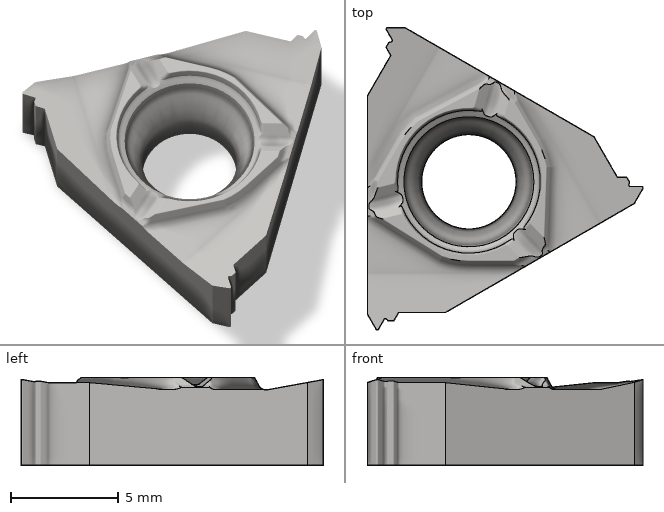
import cadquery as cq
import math

CORNERS = 3
CORNER_STEP = 360 / CORNERS

TOP_Z = 4.1
FLOOR_Z = 3.52
SIDE_DISTANCE = 4.74
BLANK_SIZE = 16.92
PICK_MARGIN = 0.01

TIP_X = -4.27
TIP_APEX_DEPTH = 6.98
TIP_RADIUS = 0.07
FLANK_ANGLE = 60.0
ROOT_DEPTH = 6.1
CREST_DEPTH = 6.49
CREST_START_X = -3.76
CREST_END_X = -3.5
NICK_DEPTH = 6.39
NICK_WIDTH = 0.07
PROFILE_RADIUS = 0.03

RISE_DISTANCE = 4.3
RISE_ANGLE = 10.3
RISE_BLEND = 0.04

HUB_RADIUS = 4.22
HUB_ARC_ANGLE = 20.0
HUB_LONG_SIDE_ANGLE = 32.0
HUB_WALL_ANGLE = 28.0
HUB_FOOT_RADIUS = 0.35
HUB_REACH = 5.78
HUB_EDGE_RADIUS = 0.04
HUB_CORNER_RADIUS = 0.14

END_TOP_DISTANCE = 4.26
END_COVE_DISTANCE = 4.39
END_COVE_Z = 3.86
END_FOOT_DISTANCE = 4.6
END_FOOT_Z = 3.7
END_SHELF_Z = 3.64

NOTCH_ANGLE = -46.0
NOTCH_FLOOR_Z = 3.67
NOTCH_FLOOR_LEFT = -0.17
NOTCH_FLOOR_RIGHT = 0.13
NOTCH_WALL_ANGLE = 53.0
NOTCH_FILLET = 0.28
NOTCH_START = 2.54
NOTCH_MOUTH_RADIUS = 0.14

BORE_RADIUS = 4.4 / 2
BORE_TOP_Z = 1.24
SEAT_RADIUS = 2.83
SEAT_TOP_Z = 2.88
SEAT_BULGE_RADIUS = 2.43
COUNTERBORE_RADIUS = 2.99
COUNTERBORE_FOOT_Z = 3.21
LEDGE_INNER_RADIUS = 3.03
LEDGE_EDGE_Z = 3.55
LEDGE_CHAMFER_RADIUS = 3.1
LEDGE_Z = 3.61
RECESS_FOOT_RADIUS = 3.33
RECESS_FOOT_Z = 3.76
RECESS_RADIUS = 3.41


def rotate_point(point, angle):
    """Turn an XY point about the origin by an angle in degrees."""
    c = math.cos(math.radians(angle))
    s = math.sin(math.radians(angle))
    return (c * point[0] - s * point[1], s * point[0] + c * point[1])


def around(shape):
    """The shape turned to every corner in turn."""
    return [shape.rotate((0, 0, 0), (0, 0, 1), i * CORNER_STEP) for i in range(CORNERS)]


def edges_between(body, inner_radius, outer_radius, low_z, high_z):
    """Edges whose midpoint lies in a ring around the axis."""

    def in_ring(edge):
        centre = edge.Center()
        inside = inner_radius < math.hypot(centre.x, centre.y) < outer_radius
        return inside and low_z < centre.z < high_z

    return body.edges().filter(in_ring)


def round_corners(body, corner_points, radius):
    """Fillet the upright edges at the given outline points on every corner."""
    for i in range(CORNERS):
        for point in corner_points:
            x, y = rotate_point(point, i * CORNER_STEP)
            nearest = cq.selectors.NearestToPointSelector((x, y, TOP_Z / 2))
            body = body.edges("|Z").edges(nearest).fillet(radius)
    return body


def outline():
    """Triangular body with the thread profile on its three corners."""
    flank = math.tan(math.radians(FLANK_ANGLE))
    flank_start_y = -TIP_APEX_DEPTH + flank * (SIDE_DISTANCE + TIP_X)
    nick_x = TIP_X + (TIP_APEX_DEPTH - NICK_DEPTH) / flank
    root_x = CREST_END_X + (CREST_DEPTH - ROOT_DEPTH) / flank
    side_sin = math.sin(math.radians(CORNER_STEP))
    side_cos = -math.cos(math.radians(CORNER_STEP))
    side_x = (SIDE_DISTANCE - side_sin * ROOT_DEPTH) / side_cos
    corner = [
        (-SIDE_DISTANCE, flank_start_y),
        (TIP_X, -TIP_APEX_DEPTH),
        (nick_x, -NICK_DEPTH),
        (nick_x + NICK_WIDTH, -NICK_DEPTH),
        (CREST_START_X, -CREST_DEPTH),
        (CREST_END_X, -CREST_DEPTH),
        (root_x, -ROOT_DEPTH),
        (side_x, -ROOT_DEPTH),
    ]
    points = [rotate_point(p, i * CORNER_STEP) for i in range(CORNERS) for p in corner]
    body = cq.Workplane("XY").polyline(points).close().extrude(TOP_Z)
    _, tip, *small_corners, _ = corner
    body = round_corners(body, [tip], TIP_RADIUS)
    return round_corners(body, small_corners, PROFILE_RADIUS)


def corner_rise():
    """Wedge that lifts the floor towards the tip of one corner."""
    slope = math.tan(math.radians(RISE_ANGLE))
    run = BLANK_SIZE / 2 - RISE_DISTANCE
    blend_end = RISE_DISTANCE + RISE_BLEND * math.cos(math.radians(RISE_ANGLE))
    blend_z = FLOOR_Z + RISE_BLEND * math.sin(math.radians(RISE_ANGLE))
    return (
        cq.Workplane("YZ")
        .moveTo(-BLANK_SIZE / 2, 0)
        .lineTo(-BLANK_SIZE / 2, FLOOR_Z + slope * run)
        .lineTo(-blend_end, blend_z)
        .tangentArcPoint((-RISE_DISTANCE + RISE_BLEND, FLOOR_Z), relative=False)
        .lineTo(-RISE_DISTANCE + RISE_BLEND, 0)
        .close()
        .extrude(BLANK_SIZE / 2, both=True)
    )


def hub_on_floor():
    """Flat floor with the tapered hub and its foot fillet."""
    wall = math.radians(HUB_WALL_ANGLE)
    spread = HUB_FOOT_RADIUS * math.tan((math.pi / 2 - wall) / 2)
    radius = HUB_RADIUS - spread
    arc_start = rotate_point((0, -radius), -HUB_ARC_ANGLE)
    arc_mid = rotate_point((0, -radius), -HUB_ARC_ANGLE / 2)
    long_slope = -math.tan(math.radians(HUB_LONG_SIDE_ANGLE))
    n = rotate_point((0, -1), -CORNER_STEP)
    offset = arc_start[1] - long_slope * arc_start[0]
    apex_x = (radius - n[1] * offset) / (n[0] + n[1] * long_slope)
    apex = (apex_x, offset + long_slope * apex_x)

    wire = cq.Workplane("XY").workplane(offset=FLOOR_Z).moveTo(*apex)
    for i in range(CORNERS):
        turn = i * CORNER_STEP
        wire = wire.lineTo(*rotate_point(arc_start, turn))
        wire = wire.threePointArc(rotate_point(arc_mid, turn), rotate_point((0, -radius), turn))
        if i < CORNERS - 1:
            wire = wire.lineTo(*rotate_point(apex, turn + CORNER_STEP))
    hub = wire.close().extrude(TOP_Z - FLOOR_Z, taper=HUB_WALL_ANGLE)
    floor = cq.Workplane("XY").rect(BLANK_SIZE, BLANK_SIZE).extrude(FLOOR_Z)
    plate = floor.union(hub)
    foot = edges_between(plate, 0, HUB_REACH, FLOOR_Z - PICK_MARGIN, FLOOR_Z + PICK_MARGIN)
    return foot.fillet(HUB_FOOT_RADIUS)


def hub_end():
    """Cutter for the sloping end of the hub at the -X flank."""
    return (
        cq.Workplane("XZ")
        .moveTo(-END_TOP_DISTANCE, TOP_Z)
        .lineTo(-END_COVE_DISTANCE, END_COVE_Z)
        .tangentArcPoint((-END_FOOT_DISTANCE, END_FOOT_Z), relative=False)
        .lineTo(-SIDE_DISTANCE, END_SHELF_Z)
        .lineTo(-BLANK_SIZE / 2, END_SHELF_Z)
        .lineTo(-BLANK_SIZE / 2, TOP_Z)
        .close()
        .extrude(BLANK_SIZE / 2, both=True)
    )


def notch():
    """Cutter for one chip notch, made along +X and then turned into place."""
    depth = TOP_Z - NOTCH_FLOOR_Z
    widen = depth * math.tan(math.radians(NOTCH_WALL_ANGLE))
    cutter = (
        cq.Workplane("YZ")
        .workplane(offset=NOTCH_START)
        .moveTo(NOTCH_FLOOR_LEFT - widen, TOP_Z)
        .lineTo(NOTCH_FLOOR_LEFT, NOTCH_FLOOR_Z)
        .lineTo(NOTCH_FLOOR_RIGHT, NOTCH_FLOOR_Z)
        .lineTo(NOTCH_FLOOR_RIGHT + widen, TOP_Z)
        .close()
        .extrude(BLANK_SIZE / 2 - NOTCH_START)
    )
    cutter = cutter.faces("<Z").edges("|X").fillet(NOTCH_FILLET)
    return cutter.rotate((0, 0, 0), (0, 0, 1), NOTCH_ANGLE)


def screw_hole():
    """Revolved cutter: bore, curved screw seat, counterbore and shallow top recess."""
    bulge_centre = BORE_RADIUS + SEAT_BULGE_RADIUS
    half_turn = math.asin((SEAT_TOP_Z - BORE_TOP_Z) / SEAT_BULGE_RADIUS) / 2
    seat_mid = (
        bulge_centre - SEAT_BULGE_RADIUS * math.cos(half_turn),
        BORE_TOP_Z + SEAT_BULGE_RADIUS * math.sin(half_turn),
    )
    return (
        cq.Workplane("XZ")
        .lineTo(BORE_RADIUS, 0)
        .lineTo(BORE_RADIUS, BORE_TOP_Z)
        .threePointArc(seat_mid, (SEAT_RADIUS, SEAT_TOP_Z))
        .tangentArcPoint((COUNTERBORE_RADIUS, COUNTERBORE_FOOT_Z), relative=False)
        .lineTo(LEDGE_INNER_RADIUS, LEDGE_EDGE_Z)
        .lineTo(LEDGE_CHAMFER_RADIUS, LEDGE_Z)
        .tangentArcPoint((RECESS_FOOT_RADIUS, RECESS_FOOT_Z), relative=False)
        .lineTo(RECESS_RADIUS, TOP_Z)
        .lineTo(0, TOP_Z)
        .close()
        .revolve(360, (0, 0, 0), (0, 1, 0))
    )


result = hub_on_floor()
for cutter in around(hub_end()):
    result = result.cut(cutter)

wall_corners = edges_between(
    result, END_TOP_DISTANCE, HUB_REACH, END_COVE_Z + PICK_MARGIN, TOP_Z - PICK_MARGIN
)
cove_corners = edges_between(
    result, END_TOP_DISTANCE, HUB_REACH, END_FOOT_Z + PICK_MARGIN, END_COVE_Z - PICK_MARGIN
)
result = wall_corners.add(cove_corners.vals()).fillet(HUB_CORNER_RADIUS)

for cutter in around(notch()):
    result = result.cut(cutter)
for wedge in around(corner_rise()):
    result = result.union(wedge)
result = result.intersect(outline()).cut(screw_hole())

mouths = edges_between(
    result, RECESS_FOOT_RADIUS, RECESS_RADIUS, RECESS_FOOT_Z + PICK_MARGIN, TOP_Z - PICK_MARGIN
)
result = mouths.fillet(NOTCH_MOUTH_RADIUS)
result = result.faces(">Z").edges().fillet(HUB_EDGE_RADIUS)